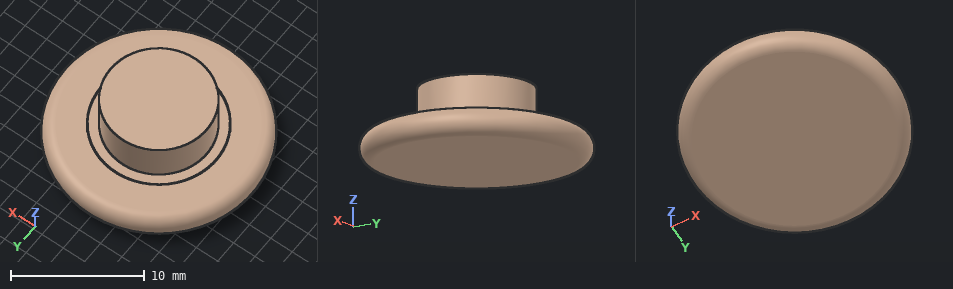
import cadquery as cq

disc_diameter = 17.7
disc_thickness = 2.2
pocket_diameter = 10.8
plug_base_diameter = 10.7
post_diameter = 9.0
total_height = 5.7

pocket_depth = disc_thickness / 2
pocket_floor = disc_thickness - pocket_depth
rim_radius = disc_thickness / 2
rim_center_radius = disc_diameter / 2 - rim_radius


def make_disc():
    """Disc resting on Z = 0, with a fully rounded rim and a round blind pocket in its top."""
    pocket_radius = pocket_diameter / 2
    return (
        cq.Workplane("XZ")
        .moveTo(0, 0)
        .lineTo(rim_center_radius, 0)
        .threePointArc((disc_diameter / 2, rim_radius), (rim_center_radius, disc_thickness))
        .lineTo(pocket_radius, disc_thickness)
        .lineTo(pocket_radius, pocket_floor)
        .lineTo(0, pocket_floor)
        .close()
        .revolve(360, (0, 0), (0, 1))
    )


def make_plug():
    """Stepped plug: a base with side clearance in the pocket, flush with the disc, and a raised post."""
    return (
        cq.Workplane("XY", origin=(0, 0, pocket_floor))
        .circle(plug_base_diameter / 2)
        .extrude(pocket_depth)
        .faces(">Z")
        .workplane()
        .circle(post_diameter / 2)
        .extrude(total_height - disc_thickness)
    )


disc = make_disc()
plug = make_plug()

result = cq.Compound.makeCompound([disc.val(), plug.val()])